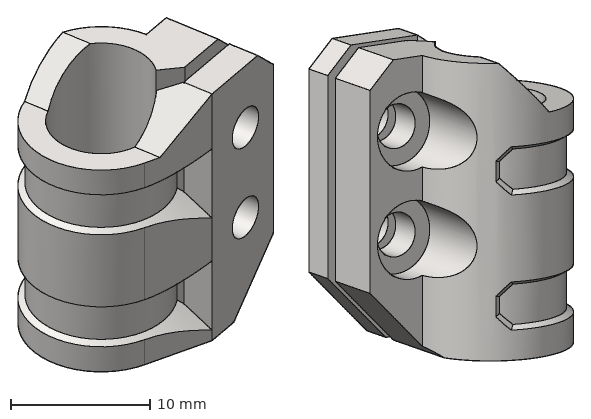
import cadquery as cq
import math

height = 22.0
outer_radius = 6.0
bore_radius = 4.0

lug_left = -0.25
lug_right = 7.79
lug_back = 10.5
lug_base = 2.77
slit_left = 4.31
slit_right = 5.3
lug_top_chamfer = 2.0
lug_bottom_chamfer = 5.0

front_drop = 4.0

screw_y = 6.95
screw_heights = (8.5, 16.5)
screw_diameter = 3.3
counterbore_diameter = 5.8
counterbore_depth = 2.0

groove_heights = (4.03, 14.01)
groove_depth = 0.5
groove_half_width = 1.78
groove_end_half_width = 0.75
groove_end_angle = 150.6
flank_slope = math.tan(math.radians(30))

span = 44.0


def box(x_min, x_max, y_min, y_max, z_min, z_max):
    size = (x_max - x_min, y_max - y_min, z_max - z_min)
    return cq.Workplane("XY").box(*size, centered=False).translate((x_min, y_min, z_min))


def clamp_blank():
    """Ring, lug, and the web tangent to the ring on the right."""
    corner_angle = math.atan2(lug_base, lug_right)
    corner_distance = math.hypot(lug_right, lug_base)
    tangent_angle = corner_angle - math.acos(outer_radius / corner_distance)
    tangent_x = outer_radius * math.cos(tangent_angle)
    tangent_y = outer_radius * math.sin(tangent_angle)
    web = (
        cq.Workplane("XY")
        .polyline([
            (lug_left, 0),
            (tangent_x, tangent_y),
            (lug_right, lug_base),
            (lug_right, lug_back),
            (lug_left, lug_back),
        ])
        .close()
        .extrude(height)
    )
    return cq.Workplane("XY").circle(outer_radius).extrude(height).union(web)


def side_envelope():
    """Side outline: chamfered lug, and a slope down to the low front."""
    slope_end = lug_base - front_drop
    return (
        cq.Workplane("YZ")
        .polyline([
            (-outer_radius, 0),
            (lug_back - lug_bottom_chamfer, 0),
            (lug_back, lug_bottom_chamfer),
            (lug_back, height - lug_top_chamfer),
            (lug_back - lug_top_chamfer, height),
            (lug_base, height),
            (slope_end, height - front_drop),
            (-outer_radius, height - front_drop),
        ])
        .close()
        .extrude(span, both=True)
    )


def slit():
    """Parallel slit whose mouth follows two radial lines into the bore."""
    return (
        cq.Workplane("XY")
        .polyline([
            (0, 0),
            (slit_right, lug_base),
            (slit_right, span),
            (slit_left, span),
            (slit_left, slit_left),
        ])
        .close()
        .extrude(height)
    )


def screw_hole(z):
    axis = cq.Workplane("YZ").center(screw_y, z)
    hole = axis.circle(screw_diameter / 2).extrude(span, both=True)
    floor = axis.workplane(offset=lug_left + counterbore_depth)
    counterbore = floor.circle(counterbore_diameter / 2).extrude(-span)
    return hole.union(counterbore)


def groove_end(z):
    """Left end of a groove: 45 degree corners and drafted walls."""
    length = 5.5
    inner_radius = 4.4
    outer_limit = 6.6

    def outline(radius):
        draft = (radius - outer_radius) * flank_slope
        half_width = groove_end_half_width + draft * math.tan(math.radians(22.5))
        wide = half_width + length
        return [
            (draft, -half_width),
            (draft, half_width),
            (draft - length, wide),
            (draft - length, -wide),
        ]

    angle = math.radians(groove_end_angle)
    plane = cq.Plane(
        origin=(0, 0, z),
        xDir=(math.sin(angle), -math.cos(angle), 0),
        normal=(math.cos(angle), math.sin(angle), 0),
    )
    return (
        cq.Workplane(plane)
        .workplane(offset=inner_radius)
        .polyline(outline(inner_radius))
        .close()
        .workplane(offset=outer_limit - inner_radius)
        .polyline(outline(outer_limit))
        .close()
        .loft(ruled=True)
    )


def groove(z):
    """Groove from its left end, around the front, to the lug base on the right."""
    floor_radius = outer_radius - groove_depth
    rim_radius = 9.9
    floor_half = groove_half_width - groove_depth * flank_slope
    rim_half = floor_half + (rim_radius - floor_radius) * flank_slope
    ring = (
        cq.Workplane("XZ")
        .polyline([
            (floor_radius, z - floor_half),
            (rim_radius, z - rim_half),
            (rim_radius, z + rim_half),
            (floor_radius, z + floor_half),
        ])
        .close()
        .revolve(360, (0, 0, 0), (0, 1, 0))
    )
    left_blend_y = 1.1
    reach = (
        box(-span, span, -span, left_blend_y, -span, span)
        .union(box(0, span, -span, lug_base, -span, span))
        .union(groove_end(z))
    )
    return ring.intersect(reach)


result = clamp_blank().intersect(side_envelope())
result = result.cut(cq.Workplane("XY").circle(bore_radius).extrude(height))
result = result.cut(slit())
for screw_z in screw_heights:
    result = result.cut(screw_hole(screw_z))
for groove_z in groove_heights:
    result = result.cut(groove(groove_z))